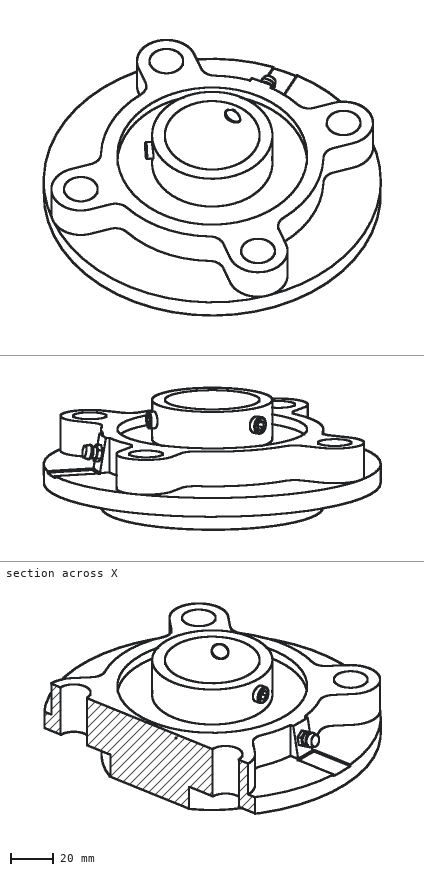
import cadquery as cq
import math

spigot_height = 12.0
flange_top = 21.1
housing_top = 37.9
sleeve_top = 52.1
recess_floor = 33.1

flange_diameter = 160
spigot_diameter = 105.0
housing_diameter = 105.5
recess_diameter = 90.0
sleeve_diameter = 57.1
bore_diameter = 45.0

ear_diameter = 28.0
ear_radius = ear_diameter / 2
ear_fillet = 7.0
ear_angles = (45, 135, 225, 315)
bolt_hole_diameter = 16
bolt_circle_diameter = 132.0
bolt_circle_radius = bolt_circle_diameter / 2

pad_width = 10.7
pad_top_y = 54.2
fitting_tilt = 10
groove_width = 12.3
groove_depth = 0.8
hex_width = 7.0
hex_height = 2.2
fitting_base_radius = 2.9
fitting_neck_radius = 2.7
fitting_neck_position = 4.0
fitting_collar_radius = 3.5
fitting_collar_position = 5.3
fitting_tip_radius = 2.9
fitting_length = 7.7

screw_diameter = 8
screw_z = 44.1
screw_inner_end = 23.0
screw_outer_end = 31.7
screw_chamfer = 0.5
socket_width = 4.0
socket_depth = 4.0
screw_angles = (90, 210)


def cylinder(diameter, bottom, top):
    return cq.Workplane("XY").workplane(offset=bottom).circle(diameter / 2).extrude(top - bottom)


def hexagon(plane, width, height):
    """Hexagonal prism with the given width across flats and its corners along the plane's Y."""
    corner_diameter = width / math.cos(math.pi / 6)
    return (
        cq.Workplane(plane)
        .transformed(rotate=(0, 0, 90))
        .polygon(6, corner_diameter)
        .extrude(height)
    )


def make_ear(angle):
    """Bolt ear along +X with flanks blended into the round housing, turned to its angle."""
    housing_radius = housing_diameter / 2
    blend_y = ear_radius + ear_fillet
    blend_distance = housing_radius + ear_fillet
    blend_x = math.sqrt(blend_distance**2 - blend_y**2)
    touch_x = blend_x * housing_radius / blend_distance
    touch_y = blend_y * housing_radius / blend_distance
    ear = (
        cq.Workplane("XY")
        .workplane(offset=flange_top)
        .moveTo(touch_x, -touch_y)
        .radiusArc((blend_x, -ear_radius), ear_fillet)
        .lineTo(bolt_circle_radius, -ear_radius)
        .threePointArc((bolt_circle_radius + ear_radius, 0), (bolt_circle_radius, ear_radius))
        .lineTo(blend_x, ear_radius)
        .radiusArc((touch_x, touch_y), ear_fillet)
        .lineTo(0, 0)
        .close()
        .extrude(housing_top - flange_top)
    )
    return ear.rotate((0, 0, 0), (0, 0, 1), angle)


def pad_face_y(z):
    """Y of the sloping pad face at height z."""
    return pad_top_y + (housing_top - z) * math.tan(math.radians(fitting_tilt))


def make_pad():
    """Pad rooted in the middle of the housing wall, with a face that leans back to the top."""
    inner_y = (recess_diameter + housing_diameter) / 4
    foot_z = flange_top - groove_depth
    return (
        cq.Workplane("YZ")
        .moveTo(inner_y, foot_z)
        .lineTo(pad_face_y(foot_z), foot_z)
        .lineTo(pad_top_y, housing_top)
        .lineTo(inner_y, housing_top)
        .close()
        .extrude(pad_width / 2, both=True)
    )


def make_groove():
    """Shallow radial groove from the foot of the pad to the flange rim."""
    start_y = pad_face_y(flange_top - groove_depth)
    length = flange_diameter / 2 - start_y
    groove = cq.Workplane("XY").box(groove_width, length, groove_depth, centered=(True, False, False))
    return groove.translate((0, start_y, flange_top - groove_depth))


def make_grease_fitting():
    """Hexagonal base and flared nipple, square to the pad face at half its height."""
    tilt = math.radians(fitting_tilt)
    base_z = (flange_top + housing_top) / 2
    plane = cq.Plane(
        origin=(0, pad_face_y(base_z), base_z),
        xDir=(1, 0, 0),
        normal=(0, math.cos(tilt), math.sin(tilt)),
    )
    nipple = (
        cq.Workplane(plane)
        .transformed(rotate=(90, 0, 0))
        .lineTo(fitting_base_radius, 0)
        .lineTo(fitting_base_radius, hex_height)
        .lineTo(fitting_neck_radius, fitting_neck_position)
        .lineTo(fitting_collar_radius, fitting_collar_position)
        .lineTo(fitting_tip_radius, fitting_length)
        .lineTo(0, fitting_length)
        .close()
        .revolve(360, (0, 0, 0), (0, 1, 0))
    )
    return hexagon(plane, hex_width, hex_height).union(nipple)


def radial_plane(distance, angle):
    """Plane facing outward from the sleeve axis, with its Y axis vertical."""
    x = math.cos(math.radians(angle))
    y = math.sin(math.radians(angle))
    return cq.Plane(origin=(distance * x, distance * y, screw_z), xDir=(-y, x, 0), normal=(x, y, 0))


def make_screw(angle):
    """Set screw standing proud of the sleeve, with a hexagon socket in its outer end."""
    length = screw_outer_end - screw_inner_end
    screw = (
        cq.Workplane(radial_plane(screw_inner_end, angle))
        .circle(screw_diameter / 2)
        .extrude(length)
        .faces(cq.selectors.DirectionMinMaxSelector(radial_plane(0, angle).zDir))
        .chamfer(screw_chamfer)
    )
    socket_plane = radial_plane(screw_outer_end - socket_depth, angle)
    return screw.cut(hexagon(socket_plane, socket_width, socket_depth))


def make_screw_hole(angle):
    return cq.Workplane(radial_plane(0, angle)).circle(screw_diameter / 2).extrude(sleeve_diameter / 2)


housing = (
    cylinder(spigot_diameter, 0, spigot_height)
    .union(cylinder(flange_diameter, spigot_height, flange_top))
    .union(cylinder(housing_diameter, flange_top, housing_top))
)
for ear_angle in ear_angles:
    housing = housing.union(make_ear(ear_angle))

bolt_holes = (
    cq.Workplane("XY")
    .polarArray(bolt_circle_radius, ear_angles[0], 360, len(ear_angles))
    .circle(bolt_hole_diameter / 2)
    .extrude(housing_top)
)
housing = housing.cut(bolt_holes).cut(make_groove()).union(make_pad())
housing = housing.cut(cylinder(recess_diameter, recess_floor, housing_top))

result = housing.union(cylinder(sleeve_diameter, 0, sleeve_top)).cut(cylinder(bore_diameter, 0, sleeve_top))

for screw_angle in screw_angles:
    result = result.cut(make_screw_hole(screw_angle)).union(make_screw(screw_angle))
result = result.union(make_grease_fitting())